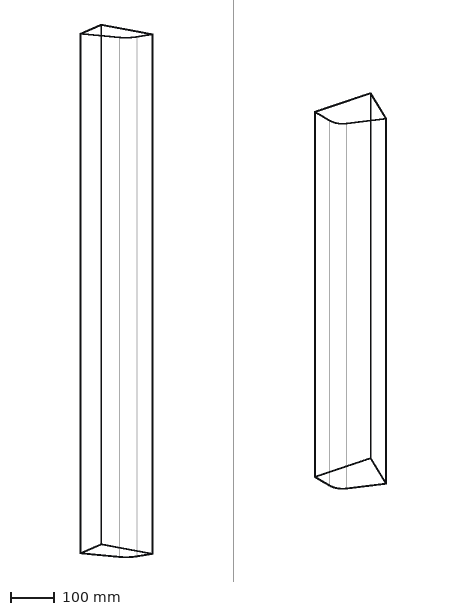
import cadquery as cq
import math

length = 1240.0
width = 140.0
depth = 87.0

front_slope = 15.0
side_slope = 63.0
edge_radius = 50.0

front_rise = math.tan(math.radians(front_slope))
side_rise = math.tan(math.radians(side_slope))
corner_x = (side_rise * width - depth) / (side_rise - front_rise)
corner_y = front_rise * corner_x

bar = (
    cq.Workplane("XY")
    .polyline([(0, 0), (corner_x, corner_y), (width, depth), (0, depth)])
    .close()
    .extrude(length)
)

corner_edge = cq.selectors.NearestToPointSelector((corner_x, corner_y, length / 2))
result = bar.edges(corner_edge).fillet(edge_radius)